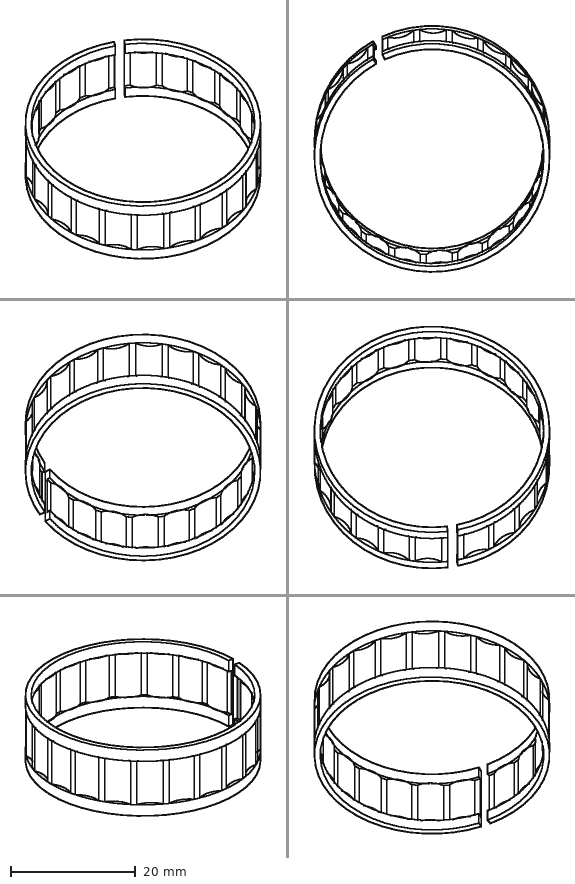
import cadquery as cq
import math


outer_radius = 18.85
band_thickness = 0.94
inner_radius = outer_radius - band_thickness
total_height = 12.0
band_height = 2.05
web_height = total_height - 2 * band_height

web_thickness = 0.41
crest_clearance = 0.006
valley_depth = 0.7
crest_radius = outer_radius - crest_clearance
valley_radius = crest_radius - valley_depth
valley_count = 22
valley_pitch = 16.0
valley_width = 13.0
first_valley = 180.0

split_width = 5.0
open_pitch = 360.0 - (valley_count - 1) * valley_pitch
split_centre = first_valley - open_pitch / 2
start_angle = split_centre + split_width / 2
end_angle = split_centre + 360.0 - split_width / 2


def polar(radius, angle):
    """Point at the given radius and angle (degrees)."""
    return (radius * math.cos(math.radians(angle)), radius * math.sin(math.radians(angle)))


def add_arc(sketch, radius, from_angle, to_angle):
    """Continue the outline along a circle about the ring axis."""
    middle = polar(radius, (from_angle + to_angle) / 2)
    return sketch.threePointArc(middle, polar(radius, to_angle))


def add_wave(sketch, crest, valley, direction):
    """Trace one side of the web between the split ends: +1 counterclockwise, -1 clockwise."""
    finish = (start_angle, end_angle)[direction > 0]
    for index in list(range(valley_count))[::direction]:
        centre = first_valley + index * valley_pitch
        valley_start = centre - direction * valley_width / 2
        valley_end = centre + direction * valley_width / 2
        sketch = sketch.lineTo(*polar(crest, valley_start))
        sketch = sketch.threePointArc(polar(valley, centre), polar(crest, valley_end))
    return sketch.lineTo(*polar(crest, finish))


def make_band(base_height):
    sketch = cq.Workplane("XY").workplane(offset=base_height).moveTo(*polar(outer_radius, start_angle))
    sketch = add_arc(sketch, outer_radius, start_angle, end_angle)
    sketch = sketch.lineTo(*polar(inner_radius, end_angle))
    sketch = add_arc(sketch, inner_radius, end_angle, start_angle)
    return sketch.close().extrude(band_height)


def make_web():
    inner_crest_radius = crest_radius - web_thickness
    inner_valley_radius = valley_radius - web_thickness
    sketch = cq.Workplane("XY").workplane(offset=band_height).moveTo(*polar(crest_radius, start_angle))
    sketch = add_wave(sketch, crest_radius, valley_radius, 1)
    sketch = sketch.lineTo(*polar(inner_crest_radius, end_angle))
    sketch = add_wave(sketch, inner_crest_radius, inner_valley_radius, -1)
    return sketch.close().extrude(web_height)


lower_band = make_band(0)
upper_band = make_band(total_height - band_height)
result = lower_band.union(make_web()).union(upper_band)